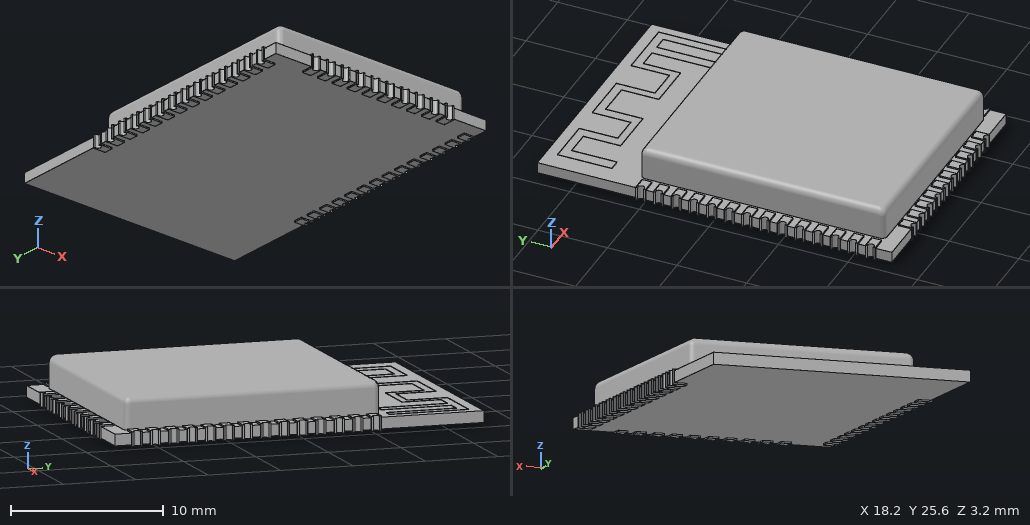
import cadquery as cq

board_width = 18.0
board_length = 25.5
board_thickness = 0.8
board_left = -board_width / 2
board_right = board_width / 2
board_front = -board_length / 2
board_back = board_length / 2

pad_pitch = 1.27
pad_width = 0.7
pad_reach = 0.9
pad_plating = 0.1
side_overhang = 0.095
front_overhang = 0.09
notch_radius = 0.23
side_notch_depth = 0.32
front_notch_depth = 0.26
side_pad_count = 14
front_pad_count = 10
first_side_pad_gap = 1.51
first_side_pad_y = board_front + first_side_pad_gap

offset_x = 0.11
shield_width = 15.82
shield_length = 17.6
shield_height = 2.3
shield_front_gap = 1.05
shield_corner_radius = 0.38
shield_top_radius = 0.55

trace_thickness = 0.02
trace_outer_depth = 0.83
trace_inner_depth = 1.46
valley_upper_depth = 3.6
valley_lower_depth = 4.14
open_end_depth = 4.73
feed_end_depth = 6.3
open_leg = (1.39, 2.22)
first_fall = (4.06, 4.80)
first_rise = (6.85, 7.58)
second_fall = (10.08, 10.65)
second_rise = (12.95, 13.51)
feed_leg = (14.88, 15.62)
ground_leg = (16.64, 17.30)


def block(x_range, y_range, z_range):
    """Box spanning the given ranges."""
    size = [high - low for low, high in (x_range, y_range, z_range)]
    corner = (x_range[0], y_range[0], z_range[0])
    return cq.Workplane("XY").box(*size, centered=False).translate(corner)


def make_board():
    return block((board_left, board_right), (board_front, board_back), (0, board_thickness))


def make_shield():
    """Can with rounded top edges, then rounded corners that run up over the mitres."""
    center_y = board_front + shield_front_gap + shield_length / 2
    can = cq.Workplane("XY").box(
        shield_width, shield_length, shield_height, centered=(True, True, False)
    )
    can = can.faces(">Z").edges().fillet(shield_top_radius)
    can = can.edges("|Z").fillet(shield_corner_radius)
    return can.translate((offset_x, center_y, board_thickness))


def make_pad(overhang):
    """Pad for an edge facing -Y, with the board edge at Y = 0."""
    return block(
        (-pad_width / 2, pad_width / 2),
        (-overhang, pad_reach),
        (-pad_plating, board_thickness + pad_plating),
    )


def make_notch(overhang, depth):
    """Round cutter through the full height, reaching the given depth from the outer pad face."""
    height = board_thickness + 2 * pad_plating
    cutter = cq.Workplane("XY").circle(notch_radius).extrude(height)
    return cutter.translate((0, depth - notch_radius - overhang, -pad_plating))


def pad_places():
    """Position, rotation about Z, overhang and notch depth of every pad."""
    places = []
    for i in range(side_pad_count):
        y = first_side_pad_y + i * pad_pitch
        places.append(((board_left, y, 0), -90, side_overhang, side_notch_depth))
        places.append(((board_right, y, 0), 90, side_overhang, side_notch_depth))
    for i in range(front_pad_count):
        x = offset_x + (i - (front_pad_count - 1) / 2) * pad_pitch
        places.append(((x, board_front, 0), 0, front_overhang, front_notch_depth))
    return places


def add_pads(body):
    for place, angle, overhang, notch_depth in pad_places():
        pad = make_pad(overhang).rotate((0, 0, 0), (0, 0, 1), angle)
        notch = make_notch(overhang, notch_depth).rotate((0, 0, 0), (0, 0, 1), angle)
        body = body.union(pad.translate(place)).cut(notch.translate(place))
    return body


def trace_strip(x_start, x_end, depth_start, depth_end):
    """One straight run of the antenna trace."""
    return block(
        (board_left + x_start, board_left + x_end),
        (board_back - depth_end, board_back - depth_start),
        (board_thickness, board_thickness + trace_thickness),
    )


def make_antenna():
    """Meander of three crests and two valleys, ending in the feed and ground legs."""
    legs = [
        (open_leg, open_end_depth),
        (first_fall, valley_lower_depth),
        (first_rise, valley_lower_depth),
        (second_fall, valley_lower_depth),
        (second_rise, valley_lower_depth),
        (feed_leg, feed_end_depth),
        (ground_leg, feed_end_depth),
    ]
    crests = [(open_leg, first_fall), (first_rise, second_fall), (second_rise, ground_leg)]
    valleys = [(first_fall, first_rise), (second_fall, second_rise)]
    strips = [trace_strip(*leg, trace_outer_depth, end_depth) for leg, end_depth in legs]
    for left_leg, right_leg in crests:
        strips.append(trace_strip(left_leg[0], right_leg[1], trace_outer_depth, trace_inner_depth))
    for left_leg, right_leg in valleys:
        strips.append(trace_strip(left_leg[0], right_leg[1], valley_upper_depth, valley_lower_depth))
    antenna = strips[0]
    for strip in strips[1:]:
        antenna = antenna.union(strip)
    return antenna.clean()


result = add_pads(make_board()).union(make_shield()).union(make_antenna())